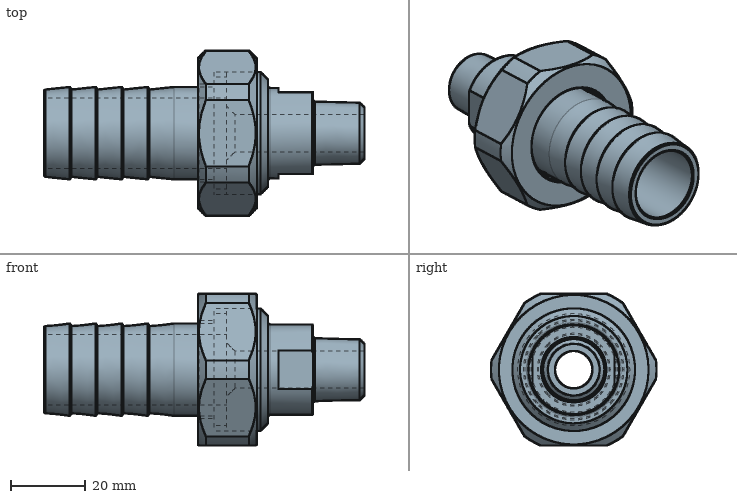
import cadquery as cq
import math


BORE_D = 19.0
SHANK_D = 25.0
BARB_ROOT_D = 23.6
BARB_COUNT = 5
BARB_PITCH = 7.0
BARB_LEAD = 0.4
BARB_DROP = 0.5
MOUTH_CHAMFER = 0.35

NUT_START = 41.5
NUT_LENGTH = 15.9
NUT_ACROSS_FLATS = 41.0
NUT_CORNER_D = 44.7
NUT_CHAMFER = 2.2
NUT_LIP = 4.3
NUT_LIP_D = 26.5
NUT_LIP_CHAMFER = 0.35

HEAD_D = 30.3
HEAD_LENGTH = 3.5

COLLAR_D = 33.1
COLLAR_END = 60.5
COLLAR_CHAMFER = 2.1
BODY_D = 24.5
BODY_END = 72.6
BODY_CHAMFER = 0.3
BODY_ROOT_FILLET = 0.5
FLAT_START = 63.3
FLAT_WIDTH = 22.15
SPIGOT_ROOT_LENGTH = 0.5
SPIGOT_ROOT_D = 17.65
SPIGOT_START_D = 17.1
SPIGOT_END_D = 16.5
SPIGOT_CHAMFER = 1.3
TOTAL_LENGTH = 86.5
THROUGH_D = 10.0
FUNNEL_D = 14.5
FUNNEL_LENGTH = 2.25

NUT_END = NUT_START + NUT_LENGTH
HEAD_START = NUT_START + NUT_LIP
JOINT = HEAD_START + HEAD_LENGTH


def revolve_profile(points):
    """Revolve a closed (x, radius) outline about the X axis."""
    return cq.Workplane("XY").polyline(points).close().revolve(360, (0, 0, 0), (1, 0, 0))


def cylinder(start, end, diameter):
    return cq.Workplane("YZ", origin=(start, 0, 0)).circle(diameter / 2).extrude(end - start)


def make_hose_tail():
    bore_r = BORE_D / 2
    shank_r = SHANK_D / 2
    root_r = BARB_ROOT_D / 2
    outline = [
        (MOUTH_CHAMFER, bore_r),
        (0, bore_r + MOUTH_CHAMFER),
        (0, root_r - MOUTH_CHAMFER),
        (MOUTH_CHAMFER, root_r),
    ]
    for barb in range(1, BARB_COUNT):
        root_x = BARB_LEAD + barb * BARB_PITCH
        outline += [(root_x - BARB_DROP, shank_r), (root_x, root_r)]
    outline += [
        (BARB_COUNT * BARB_PITCH, shank_r),
        (HEAD_START, shank_r),
        (HEAD_START, HEAD_D / 2),
        (JOINT, HEAD_D / 2),
        (JOINT, bore_r),
    ]
    return revolve_profile(outline)


def make_nut():
    hexagon_corner_d = NUT_ACROSS_FLATS / math.cos(math.radians(30))
    hexagon = (
        cq.Workplane("YZ", origin=(NUT_START, 0, 0))
        .polygon(6, hexagon_corner_d)
        .extrude(NUT_LENGTH)
    )
    rounded_corners = cylinder(NUT_START, NUT_END, NUT_CORNER_D).edges().chamfer(NUT_CHAMFER)
    lip_hole = cylinder(NUT_START, NUT_END, NUT_LIP_D)
    thread_hole = cylinder(HEAD_START, NUT_END, COLLAR_D)
    lip_mouth = revolve_profile([
        (NUT_START, 0),
        (NUT_START, NUT_LIP_D / 2 + NUT_LIP_CHAMFER),
        (NUT_START + NUT_LIP_CHAMFER, NUT_LIP_D / 2),
        (NUT_START + NUT_LIP_CHAMFER, 0),
    ])
    return (
        hexagon.intersect(rounded_corners)
        .cut(lip_hole)
        .cut(lip_mouth)
        .cut(thread_hole)
    )


def make_adapter():
    body_r = BODY_D / 2
    spigot_start = BODY_END + SPIGOT_ROOT_LENGTH
    collar_and_body = (
        cq.Workplane("XY")
        .moveTo(JOINT, 0)
        .lineTo(JOINT, COLLAR_D / 2)
        .lineTo(COLLAR_END - COLLAR_CHAMFER, COLLAR_D / 2)
        .lineTo(COLLAR_END, COLLAR_D / 2 - COLLAR_CHAMFER)
        .lineTo(COLLAR_END, body_r + BODY_ROOT_FILLET)
        .radiusArc((COLLAR_END + BODY_ROOT_FILLET, body_r), -BODY_ROOT_FILLET)
        .lineTo(BODY_END - BODY_CHAMFER, body_r)
        .lineTo(BODY_END, body_r - BODY_CHAMFER)
        .lineTo(BODY_END, 0)
        .close()
        .revolve(360, (0, 0, 0), (1, 0, 0))
    )
    flat_length = BODY_END - FLAT_START
    flats = (
        cq.Workplane("XY")
        .box(flat_length, 2 * BODY_D, 2 * BODY_D, centered=(False, True, True))
        .cut(cq.Workplane("XY").box(flat_length, FLAT_WIDTH, 2 * BODY_D, centered=(False, True, True)))
        .translate((FLAT_START, 0, 0))
    )
    spigot = revolve_profile([
        (BODY_END, 0),
        (BODY_END, SPIGOT_ROOT_D / 2),
        (spigot_start, SPIGOT_START_D / 2),
        (TOTAL_LENGTH - SPIGOT_CHAMFER, SPIGOT_END_D / 2),
        (TOTAL_LENGTH, SPIGOT_END_D / 2 - SPIGOT_CHAMFER),
        (TOTAL_LENGTH, 0),
    ])
    passage = revolve_profile([
        (JOINT, 0),
        (JOINT, FUNNEL_D / 2),
        (JOINT + FUNNEL_LENGTH, THROUGH_D / 2),
        (TOTAL_LENGTH, THROUGH_D / 2),
        (TOTAL_LENGTH, 0),
    ])
    return collar_and_body.cut(flats).union(spigot).cut(passage)


hose_tail = make_hose_tail()
nut = make_nut()
adapter = make_adapter()

result = cq.Compound.makeCompound([hose_tail.val(), nut.val(), adapter.val()])